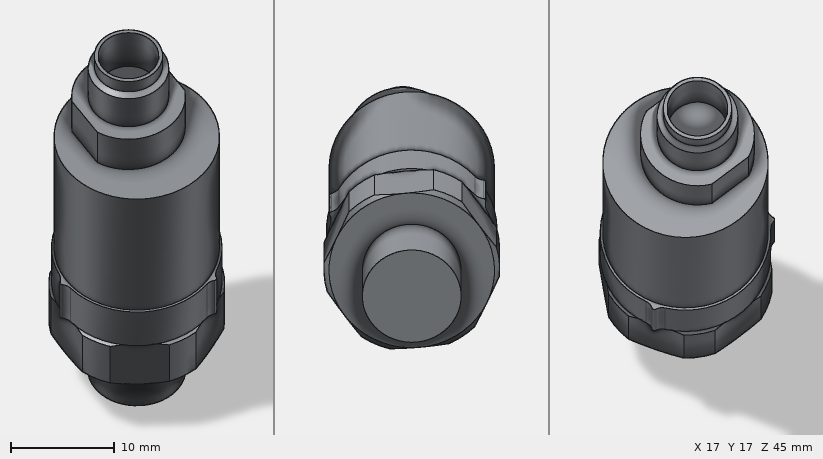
import cadquery as cq
import math

NUT_BOTTOM_Z = 7.0
NUT_TOP_Z = 13.0
RING_TOP_Z = 18.0
BODY_TOP_Z = 34.5
FLATS_TOP_Z = 39.0
PLUG_SHOULDER_Z = 43.15
OVERALL_HEIGHT = 45.0

STEM_DIAMETER = 9.55
BODY_DIAMETER = 16.0

NUT_SIDES = 6
NUT_ACROSS_FLATS = 16.0
NUT_CORNER_DIAMETER = 17.0
NUT_CHAMFER_ANGLE = 30.0
NUT_CHAMFER_WIDTH = 0.5

RING_RADIUS = 8.25
RIDGE_COUNT = 3
FIRST_RIDGE_ANGLE = -90.0
RIDGE_TIP_RADIAL = 8.72
RIDGE_TIP_ROUND = 0.25
RIDGE_FLANK_ROUND = 1.25

PLUG_OFFSET_X = -1.5
COLLAR_DIAMETER = 11.0
COLLAR_ACROSS_FLATS = 10.0
PLUG_DIAMETER = 7.8
PLUG_LIP_DIAMETER = 6.6
PLUG_CONE_ANGLE = 30.0
BORE_DIAMETER = 5.85
BORE_DEPTH = 5.0


def cylinder(diameter, bottom_z, top_z, center_x=0.0):
    base = cq.Workplane("XY", origin=(center_x, 0, bottom_z))
    return base.circle(diameter / 2).extrude(top_z - bottom_z)


def make_nut():
    """Hexagon trimmed by a turned blank with chamfered ends; two flats face +Y and -Y."""
    corner_radius = NUT_CORNER_DIAMETER / 2
    end_radius = corner_radius - NUT_CHAMFER_WIDTH
    slope = math.tan(math.radians(NUT_CHAMFER_ANGLE))
    turned_blank = (
        cq.Workplane("XZ")
        .moveTo(0, NUT_BOTTOM_Z)
        .lineTo(end_radius, NUT_BOTTOM_Z)
        .lineTo(corner_radius, NUT_BOTTOM_Z + NUT_CHAMFER_WIDTH * slope)
        .lineTo(corner_radius, NUT_TOP_Z - NUT_CHAMFER_WIDTH * slope)
        .lineTo(end_radius, NUT_TOP_Z)
        .lineTo(0, NUT_TOP_Z)
        .close()
        .revolve(360, (0, 0, 0), (0, 1, 0))
    )
    hexagon_diameter = NUT_ACROSS_FLATS / math.cos(math.pi / NUT_SIDES)
    hexagon = (
        cq.Workplane("XY", origin=(0, 0, NUT_BOTTOM_Z))
        .polygon(NUT_SIDES, hexagon_diameter)
        .extrude(NUT_TOP_Z - NUT_BOTTOM_Z)
    )
    return hexagon.intersect(turned_blank)


def make_ridge():
    """One ridge pointing along +X: a round tip blended into the ring by concave flanks."""
    tip_center = RIDGE_TIP_RADIAL - RIDGE_TIP_ROUND
    flank_center_radial = RING_RADIUS + RIDGE_FLANK_ROUND
    center_spacing = RIDGE_TIP_ROUND + RIDGE_FLANK_ROUND

    flank_x = (flank_center_radial**2 + tip_center**2 - center_spacing**2) / (2 * tip_center)
    flank_y = math.sqrt(flank_center_radial**2 - flank_x**2)

    foot_scale = RING_RADIUS / flank_center_radial
    foot = (flank_x * foot_scale, flank_y * foot_scale)
    tip_scale = RIDGE_TIP_ROUND / center_spacing
    shoulder = (tip_center + (flank_x - tip_center) * tip_scale, flank_y * tip_scale)

    chord_x = (foot[0] + shoulder[0]) / 2 - flank_x
    chord_y = (foot[1] + shoulder[1]) / 2 - flank_y
    reach = RIDGE_FLANK_ROUND / math.hypot(chord_x, chord_y)
    flank_middle = (flank_x + chord_x * reach, flank_y + chord_y * reach)

    def mirrored(point):
        return (point[0], -point[1])

    return (
        cq.Workplane("XY", origin=(0, 0, NUT_TOP_Z))
        .moveTo(0, 0)
        .lineTo(*mirrored(foot))
        .threePointArc(mirrored(flank_middle), mirrored(shoulder))
        .threePointArc((RIDGE_TIP_RADIAL, 0), shoulder)
        .threePointArc(flank_middle, foot)
        .close()
        .extrude(RING_TOP_Z - NUT_TOP_Z)
    )


def make_grip_ring():
    """Ring with evenly spaced ridges, the first one at -Y."""
    ring = cylinder(2 * RING_RADIUS, NUT_TOP_Z, RING_TOP_Z)
    ridge = make_ridge()
    for index in range(RIDGE_COUNT):
        angle = FIRST_RIDGE_ANGLE + index * 360 / RIDGE_COUNT
        ring = ring.union(ridge.rotate((0, 0, 0), (0, 0, 1), angle))
    return ring


def make_collar():
    """Round collar with two wrench flats facing +Y and -Y."""
    height = FLATS_TOP_Z - BODY_TOP_Z
    flats = (
        cq.Workplane("XY", origin=(PLUG_OFFSET_X, 0, BODY_TOP_Z))
        .rect(COLLAR_DIAMETER, COLLAR_ACROSS_FLATS)
        .extrude(height)
    )
    return cylinder(COLLAR_DIAMETER, BODY_TOP_Z, FLATS_TOP_Z, PLUG_OFFSET_X).intersect(flats)


def make_plug():
    """Plug barrel with a conical shoulder leading to a narrower lip."""
    barrel_radius = PLUG_DIAMETER / 2
    lip_radius = PLUG_LIP_DIAMETER / 2
    cone_height = (barrel_radius - lip_radius) * math.tan(math.radians(PLUG_CONE_ANGLE))
    return (
        cq.Workplane("XZ")
        .moveTo(0, FLATS_TOP_Z)
        .lineTo(barrel_radius, FLATS_TOP_Z)
        .lineTo(barrel_radius, PLUG_SHOULDER_Z)
        .lineTo(lip_radius, PLUG_SHOULDER_Z + cone_height)
        .lineTo(lip_radius, OVERALL_HEIGHT)
        .lineTo(0, OVERALL_HEIGHT)
        .close()
        .revolve(360, (0, 0, 0), (0, 1, 0))
        .translate((PLUG_OFFSET_X, 0, 0))
    )


stem = cylinder(STEM_DIAMETER, 0, NUT_BOTTOM_Z)
body = cylinder(BODY_DIAMETER, RING_TOP_Z, BODY_TOP_Z)
bore = cylinder(BORE_DIAMETER, OVERALL_HEIGHT - BORE_DEPTH, OVERALL_HEIGHT, PLUG_OFFSET_X)

result = (
    stem.union(make_nut())
    .union(make_grip_ring())
    .union(body)
    .union(make_collar())
    .union(make_plug())
    .cut(bore)
)